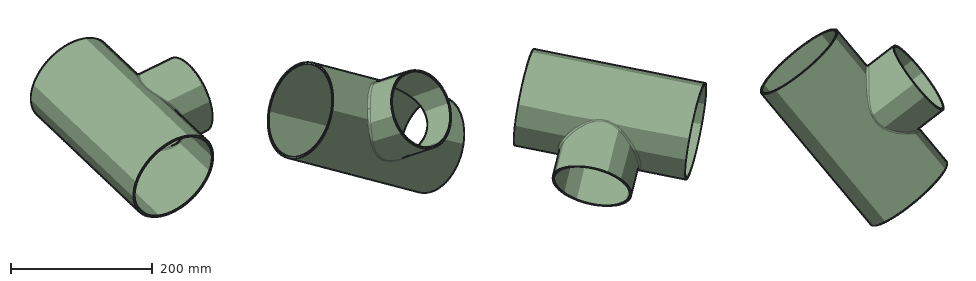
import cadquery as cq

run_length = 248.0
run_outer_diameter = 139.5
run_bore_diameter = 133.7

branch_outer_diameter = 114.3
branch_bore_diameter = 109.0

overall_depth = 186.7
branch_reach = overall_depth - run_outer_diameter / 2

junction_radius = 3.0


def tee(run_diameter, branch_diameter):
    """Solid tee: a cylinder along X joined by a branch cylinder along +Y, with a rounded junction."""
    run = cq.Workplane("YZ").circle(run_diameter / 2).extrude(run_length / 2, both=True)
    branch = cq.Workplane("XZ").circle(branch_diameter / 2).extrude(-branch_reach)
    junction = cq.selectors.BoxSelector(
        (-branch_diameter, 0, -branch_diameter),
        (branch_diameter, (run_diameter / 2 + branch_reach) / 2, branch_diameter),
        boundingbox=True,
    )
    return run.union(branch).edges(junction).fillet(junction_radius)


outer_body = tee(run_outer_diameter, branch_outer_diameter)
flow_passage = tee(run_bore_diameter, branch_bore_diameter)

result = outer_body.cut(flow_passage)